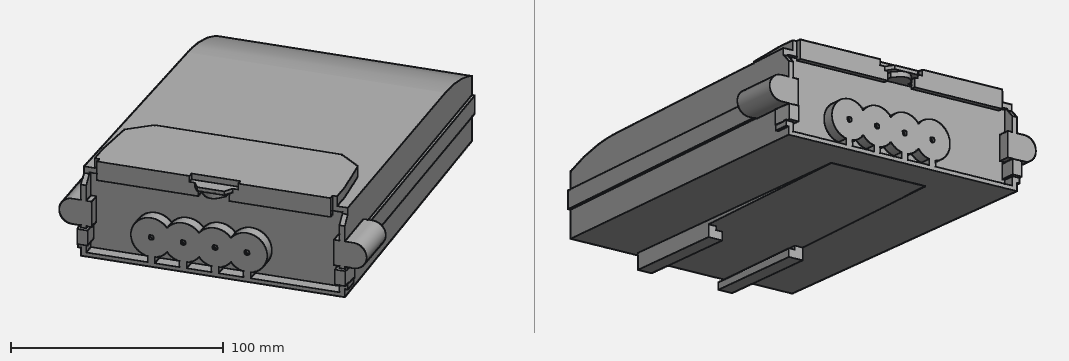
import cadquery as cq

back_y = 90.8
front_y = -87.8
top_z = 57.2
bridge = 0.4

half_width_back = 64.0
half_width_front = 66.0
housing_base_back_z = 9.0
housing_base_front_z = 7.5
roof_front_z = 52.0
roof_rear_z = 50.8
roof_rear_y = 53.2
roof_back_z = 42.8
brow_y = -83.7
brow_z = 48.6
brow_foot_z = 44.5

band_bottom_z = 23.6
band_top_z = 33.0
band_projection = 1.5

wall = 2.7
recess_depth = 6.4
recess_floor_z = 9.6
recess_roof_z = roof_front_z - wall
recess_wall_y = front_y + recess_depth
recess_half_width = half_width_front - wall

pin_count = 4
pin_pitch = 16.0
pin_center_x = -6.9
pin_z = 22.7
terminal_radius = 10.2
pin_hole_diameter = 2.5
pin_hole_depth = 1.8
stem_width = 3.6

lug_tip_x = 77.0
lug_inner_x = 60.6
lug_bottom_z = 23.2
lug_top_z = 36.5
lug_back_y = -61.7

latch_inner_x = 61.9
latch_front_x = 67.2
latch_back_x = 68.0
latch_front_y = -90.0
latch_back_y = -79.7
latch_bottom_z = 14.3
latch_top_z = 22.1
latch_step_x = 67.5
latch_step_z = 11.6

lid_back_y = -39.7
lid_corner_y = -49.2
lid_straight_y = -73.3
lid_back_half = 46.8
lid_corner_half = 58.5
lid_front_half = 60.6
flap_half = 58.5
flap_front_y = -86.5
flap_bottom_z = 47.4
flap_slot_half = 7.8
tab_recess_half = 12.2

tab_tip_y = -90.8
tab_top_z = 54.0
tab_mid_z = 52.0
tab_bottom_z = recess_roof_z
tab_root_half = 9.5
tab_shoulder_half = 7.8
tab_tip_half = 6.7
tab_shoulder_y = -89.1
tab_button_half = 6.0
tab_button_nose_half = 4.0
tab_button_nose_y = -88.5

rail_half = 27.2
rail_back_y = 87.8
hook_front_y = 30.9
rail_plate_z = 6.4
rail_plate_front_y = -68.0
hook_back_z = 0.5
hook_inner_half = 22.7
hook_tip_half = 19.2
hook_tip_z = 4.4


def box(x0, x1, y0, y1, z0, z1):
    """Axis-aligned block between opposite corners."""
    return cq.Workplane("XY").box(x1 - x0, y1 - y0, z1 - z0, centered=False).translate((x0, y0, z0))


def side_prism(outline, half):
    """Extrude a (y, z) outline across X, centred on the mirror plane."""
    return outline.close().extrude(half, both=True)


def plan_prism(points, z0, z1):
    """Extrude an (x, y) polygon between two heights."""
    return cq.Workplane("XY").workplane(offset=z0).polyline(points).close().extrude(z1 - z0)


def both_sides(shape):
    """Add the mirror image across X = 0."""
    return shape.union(shape.mirror("YZ"))


def tapered_plan(projection, z0, z1):
    """Block with the tapered housing plan, grown sideways by a projection."""
    front = half_width_front + projection
    back = half_width_back + projection
    points = [(-front, front_y), (front, front_y), (back, back_y), (-back, back_y)]
    return plan_prism(points, z0, z1)


def make_housing():
    profile = (
        cq.Workplane("YZ")
        .moveTo(back_y, housing_base_back_z)
        .lineTo(front_y, housing_base_front_z)
        .lineTo(front_y, brow_foot_z)
        .lineTo(brow_y, brow_z)
        .lineTo(brow_y, roof_front_z)
        .lineTo(roof_rear_y, roof_rear_z)
        .tangentArcPoint((back_y, roof_back_z), relative=False)
    )
    body = side_prism(profile, half_width_front).intersect(tapered_plan(0, 0, top_z))
    band = tapered_plan(band_projection, band_bottom_z, band_top_z)
    recess = box(
        -recess_half_width, recess_half_width,
        front_y, recess_wall_y,
        recess_floor_z, recess_roof_z,
    )
    return body.union(band).cut(recess)


def make_terminals():
    """Row of overlapping round terminals, each standing on a stem."""
    terminals = None
    first_x = pin_center_x - pin_pitch * (pin_count - 1) / 2
    xs = [first_x + pin_pitch * i for i in range(pin_count)]
    for x in xs:
        front = cq.Workplane("XZ", origin=(x, front_y, pin_z))
        barrel = front.circle(terminal_radius).extrude(-recess_depth - bridge)
        stem = box(
            x - stem_width / 2, x + stem_width / 2,
            front_y, recess_wall_y + bridge,
            recess_floor_z - bridge, pin_z,
        )
        terminal = barrel.union(stem)
        terminals = terminal if terminals is None else terminals.union(terminal)
    for x in xs:
        front = cq.Workplane("XZ", origin=(x, front_y, pin_z))
        terminals = terminals.cut(front.circle(pin_hole_diameter / 2).extrude(-pin_hole_depth))
    return terminals


def make_lugs():
    radius = (lug_top_z - lug_bottom_z) / 2
    nose_x = lug_tip_x - radius
    lug = (
        cq.Workplane("XZ", origin=(0, front_y, 0))
        .moveTo(lug_inner_x, lug_bottom_z)
        .lineTo(nose_x, lug_bottom_z)
        .threePointArc((lug_tip_x, lug_bottom_z + radius), (nose_x, lug_top_z))
        .lineTo(lug_inner_x, lug_top_z)
        .close()
        .extrude(front_y - lug_back_y)
    )
    return both_sides(lug)


def make_latches():
    outline = [
        (latch_inner_x, latch_front_y),
        (latch_front_x, latch_front_y),
        (latch_back_x, latch_back_y),
        (latch_inner_x, latch_back_y),
    ]
    latch = plan_prism(outline, latch_bottom_z, latch_top_z)
    step = box(
        recess_half_width, latch_step_x,
        front_y, latch_back_y,
        latch_step_z, latch_bottom_z + bridge,
    )
    return both_sides(latch.union(step))


def make_lid():
    right_edge = [
        (lid_front_half, brow_y),
        (lid_front_half, lid_straight_y),
        (lid_corner_half, lid_corner_y),
        (lid_back_half, lid_back_y),
    ]
    left_edge = [(-x, y) for x, y in reversed(right_edge)]
    cover = plan_prism(right_edge + left_edge, recess_roof_z, top_z)
    flap = box(-flap_half, flap_half, flap_front_y, brow_y, flap_bottom_z, top_z)
    slot = box(-flap_slot_half, flap_slot_half, flap_front_y, brow_y, flap_bottom_z, tab_top_z)
    tab_recess = box(-tab_recess_half, tab_recess_half, flap_front_y, brow_y, tab_top_z, top_z)
    return cover.union(flap).cut(slot).cut(tab_recess)


def make_tab():
    """Flat finger tab with a rounded button below it."""
    right_edge = [
        (tab_root_half, brow_y + bridge),
        (tab_root_half, flap_front_y),
        (tab_shoulder_half, tab_shoulder_y),
        (tab_tip_half, tab_tip_y),
    ]
    left_edge = [(-x, y) for x, y in reversed(right_edge)]
    plate = plan_prism(right_edge + left_edge, tab_mid_z, tab_top_z)
    button = (
        cq.Workplane("XY", origin=(0, 0, tab_bottom_z))
        .moveTo(-tab_button_half, brow_y + bridge)
        .lineTo(-tab_button_half, flap_front_y)
        .lineTo(-tab_button_nose_half, tab_button_nose_y)
        .threePointArc((0, tab_tip_y), (tab_button_nose_half, tab_button_nose_y))
        .lineTo(tab_button_half, flap_front_y)
        .lineTo(tab_button_half, brow_y + bridge)
        .close()
        .extrude(tab_mid_z - tab_bottom_z)
    )
    return plate.union(button)


def make_rail_mount():
    """Shallow wedge plate carrying a pair of inward-facing hooks."""
    plate_profile = cq.Workplane("YZ").polyline([
        (rail_back_y, rail_plate_z),
        (hook_front_y, rail_plate_z),
        (rail_plate_front_y, housing_base_front_z),
        (rail_plate_front_y, recess_floor_z),
        (rail_back_y, recess_floor_z),
    ])
    plate = side_prism(plate_profile, rail_half)
    hook_profile = cq.Workplane("YZ").polyline([
        (rail_back_y, hook_back_z),
        (hook_front_y, 0),
        (hook_front_y, rail_plate_z + bridge),
        (rail_back_y, rail_plate_z + bridge),
    ])
    hooks = side_prism(hook_profile, rail_half)
    throat = box(-hook_tip_half, hook_tip_half, hook_front_y, rail_back_y, 0, rail_plate_z)
    channel = box(-hook_inner_half, hook_inner_half, hook_front_y, rail_back_y, hook_tip_z, rail_plate_z)
    return plate.union(hooks.cut(throat).cut(channel))


result = (
    make_housing()
    .union(make_lid())
    .union(make_tab())
    .union(make_terminals())
    .union(make_lugs())
    .union(make_latches())
    .union(make_rail_mount())
)